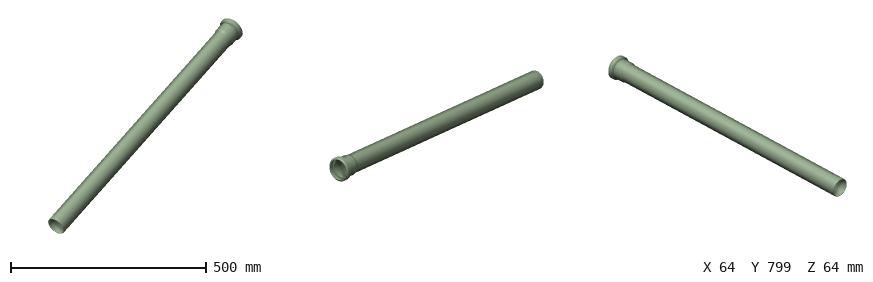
import cadquery as cq

total_length = 799.0
pipe_diameter = 50.0
pipe_bore = 46.0
socket_diameter = 55.0
socket_bore = 51.0
collar_diameter = 64.0
groove_diameter = 60.0
mouth_diameter = 54.0

collar_length = 17.0
collar_edge_chamfer = 3.0
socket_length = 41.5
taper_length = 7.0
spigot_chamfer_length = 3.0
spigot_chamfer_depth = 1.0

wall = (collar_diameter - groove_diameter) / 2
mouth_y = total_length / 2
spigot_y = -mouth_y
collar_back_y = mouth_y - collar_length
taper_start_y = mouth_y - socket_length
taper_end_y = taper_start_y - taper_length


def cylinder(diameter, start_y, end_y):
    """Solid cylinder on the Y axis between two positions."""
    base = cq.Workplane("XZ", origin=(0, start_y, 0))
    return base.circle(diameter / 2).extrude(start_y - end_y)


def taper(pipe_side_diameter, socket_side_diameter):
    """Solid cone joining the pipe diameter to the socket diameter."""
    profile = [
        (0, taper_end_y),
        (pipe_side_diameter / 2, taper_end_y),
        (socket_side_diameter / 2, taper_start_y),
        (0, taper_start_y),
    ]
    return cq.Workplane("XY").polyline(profile).close().revolve(360, (0, 0), (0, 1))


pipe = cylinder(pipe_diameter, spigot_y, taper_end_y)
pipe = pipe.faces("<Y").chamfer(spigot_chamfer_length, spigot_chamfer_depth)
socket = cylinder(socket_diameter, taper_start_y, mouth_y)
collar = cylinder(collar_diameter, collar_back_y, mouth_y).edges().chamfer(collar_edge_chamfer)
body = pipe.union(taper(pipe_diameter, socket_diameter)).union(socket).union(collar)

passage = cylinder(pipe_bore, spigot_y, taper_end_y)
passage = passage.union(taper(pipe_bore, socket_bore))
passage = passage.union(cylinder(socket_bore, taper_start_y, mouth_y))
passage = passage.union(cylinder(groove_diameter, collar_back_y + wall, mouth_y - wall))
passage = passage.union(cylinder(mouth_diameter, mouth_y - wall, mouth_y))

result = body.cut(passage)